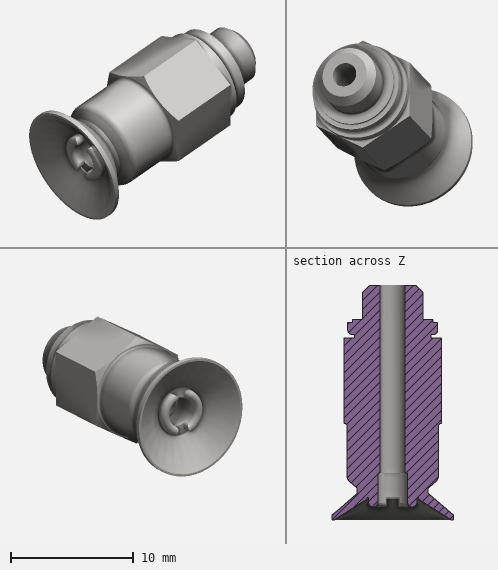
import cadquery as cq
import math

total_length = 19.2

rim_radius = 10.0 / 2
rim_wall = 0.2
rim_end = 0.42
cup_end = 2.2
neck_radius = 2.92
neck_end = 2.63
cup_floor_radius = 2.07
cup_wall_end = 1.73
cup_floor = 1.86

body_radius = 7.5 / 2
shoulder_angle = math.radians(45)
shoulder_fillet = 0.65
shoulder_end = 3.65
shoulder_start = shoulder_end - shoulder_fillet * math.sin(shoulder_angle)
shoulder_radius = body_radius - shoulder_fillet * (1 - math.cos(shoulder_angle))
flare_radius = 0.2
flare_half_angle = math.radians(45)

hex_flats = 8.0
hex_chamfer_angle = math.radians(30)
hex_corner_radius = hex_flats / 2 / math.cos(math.pi / 6)
hex_start = 7.9
hex_end = 14.19
hex_chamfer_drop = (hex_corner_radius - hex_flats / 2) * math.tan(hex_chamfer_angle)

collar_end = 14.92
groove_radius = 6.25 / 2
seal_radius = 7.4 / 2
seal_start = 15.15
seal_end = 16.17
seal_fillet = 0.38
step_radius = 6.6 / 2
step_end = 16.4
stud_radius = 5.0 / 2
stud_chamfer = 0.61

bore_radius = 2.0 / 2
bore_entry_radius = 2.4 / 2
bore_entry_end = 3.84

pad_path_radius = 1.6
pad_tube_radius = 0.4
pad_center_y = 1.48
pad_gap = 0.96
pad_end_x = pad_gap / 2 + pad_tube_radius
pad_end_z = math.sqrt(pad_path_radius**2 - pad_end_x**2)
pad_sweep = 2 * math.degrees(math.atan2(pad_end_z, pad_end_x))


def revolve_about_y(profile):
    return profile.close().revolve(360, (0, 0, 0), (0, 1, 0))


def cylinder(radius, start, end):
    profile = cq.Workplane("XY").moveTo(0, start).lineTo(radius, start).lineTo(radius, end).lineTo(0, end)
    return revolve_about_y(profile)


def make_front_body():
    """Cup cone, neck and cylindrical body up to the hexagon."""
    half_angle = shoulder_angle / 2
    arc_middle = (
        body_radius - shoulder_fillet * (1 - math.cos(half_angle)),
        shoulder_end - shoulder_fillet * math.sin(half_angle),
    )
    flare_middle = (
        body_radius + flare_radius * (1 - math.cos(flare_half_angle)),
        hex_start - flare_radius * (1 - math.sin(flare_half_angle)),
    )
    profile = (
        cq.Workplane("XY")
        .lineTo(rim_radius, 0)
        .lineTo(rim_radius, rim_end)
        .lineTo(neck_radius, cup_end)
        .lineTo(neck_radius, neck_end)
        .lineTo(shoulder_radius, shoulder_start)
        .threePointArc(arc_middle, (body_radius, shoulder_end))
        .lineTo(body_radius, hex_start - flare_radius)
        .threePointArc(flare_middle, (body_radius + flare_radius, hex_start))
        .lineTo(0, hex_start)
    )
    return revolve_about_y(profile)


def make_hexagon():
    """Hexagon with flats facing +X and -X and corners on Z."""
    prism = (
        cq.Workplane("XZ", origin=(0, hex_start, 0))
        .transformed(rotate=(0, 0, 90))
        .polygon(6, 2 * hex_corner_radius)
        .extrude(hex_start - hex_end)
    )
    envelope = revolve_about_y(
        cq.Workplane("XY")
        .moveTo(0, hex_start)
        .lineTo(hex_flats / 2, hex_start)
        .lineTo(hex_corner_radius, hex_start + hex_chamfer_drop)
        .lineTo(hex_corner_radius, hex_end)
        .lineTo(0, hex_end)
    )
    return prism.intersect(envelope)


def make_rear_body():
    """Collar, groove, sealing ring, step and chamfered stud."""
    collar = cylinder(hex_flats / 2, hex_end, collar_end)
    groove = cylinder(groove_radius, collar_end, seal_start)
    seal = cylinder(seal_radius, seal_start, seal_end).edges("<Y").fillet(seal_fillet)
    step = cylinder(step_radius, seal_end, step_end)
    stud = cylinder(stud_radius, step_end, total_length).edges(">Y").chamfer(stud_chamfer)
    return collar.union(groove).union(seal).union(step).union(stud)


def make_cup_cavity():
    """Conical hollow ending in a short cylindrical wall and a flat floor."""
    profile = (
        cq.Workplane("XY")
        .lineTo(rim_radius - rim_wall, 0)
        .lineTo(cup_floor_radius, cup_wall_end)
        .lineTo(cup_floor_radius, cup_floor)
        .lineTo(0, cup_floor)
    )
    return revolve_about_y(profile)


def make_pad_ring():
    """Full ring with straight walls and a round top, from which the pads are trimmed."""
    profile = (
        cq.Workplane("XY")
        .moveTo(pad_path_radius - pad_tube_radius, cup_floor)
        .lineTo(pad_path_radius - pad_tube_radius, pad_center_y)
        .threePointArc(
            (pad_path_radius, pad_center_y - pad_tube_radius),
            (pad_path_radius + pad_tube_radius, pad_center_y),
        )
        .lineTo(pad_path_radius + pad_tube_radius, cup_floor)
    )
    return revolve_about_y(profile)


def make_pad():
    """Pad on the +X side: a sector of the ring with half-round ends in plan."""
    pad_top = pad_center_y - pad_tube_radius
    plan = (
        cq.Workplane("XY")
        .center(pad_path_radius, (pad_top + cup_floor) / 2)
        .rect(2 * pad_tube_radius, cup_floor - pad_top)
        .revolve(pad_sweep, (-pad_path_radius, 0, 0), (-pad_path_radius, 1, 0))
        .rotate((0, 0, 0), (0, 1, 0), -pad_sweep / 2)
    )
    round_end = cylinder(pad_tube_radius, pad_top, cup_floor)
    for end_z in (pad_end_z, -pad_end_z):
        plan = plan.union(round_end.translate((pad_end_x, 0, end_z)))
    return make_pad_ring().intersect(plan)


result = make_front_body().union(make_hexagon()).union(make_rear_body())
result = result.cut(make_cup_cavity())

pad = make_pad()
result = result.union(pad).union(pad.mirror("YZ"))

result = result.cut(cylinder(bore_radius, 0, total_length))
result = result.cut(cylinder(bore_entry_radius, 0, bore_entry_end))